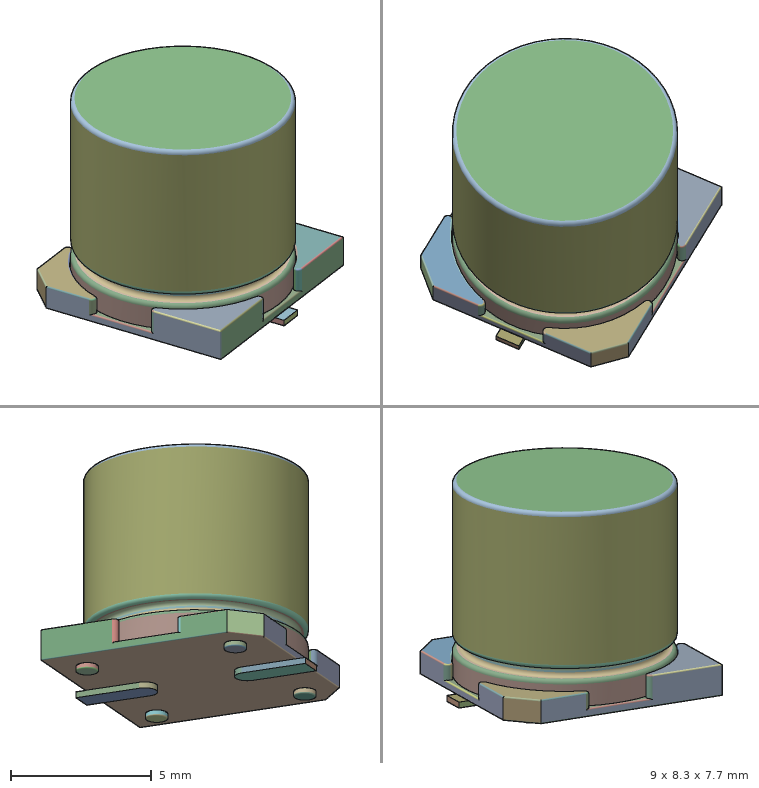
import cadquery as cq

base_side = 8.3
lead_span = 9.0
total_height = 7.7

standoff = 0.225
ledge_top = 0.52
low_block_top = 1.11
tall_block_top = 1.39
corner_chamfer = 1.0
gap_width = 2.34
nose_outer_radius = 0.17
nose_inner_radius = 0.16
edge_radius = 0.05
lower_edge_radius = 0.04

can_diameter = 8.0
can_clearance = 0.03
can_top_radius = 0.15
groove_diameter = 7.2
groove_height = 1.69
groove_flat = 0.07
groove_radius = 0.16

lead_width = 0.92
lead_inner_end = 1.56
foot_diameter = 0.8
foot_offset = 2.91
foot_rim_radius = 0.045

can_radius = can_diameter / 2
half_side = base_side / 2
pocket_radius = can_radius + can_clearance


def base_outline(bottom, top):
    """Prism of the square base with its cut -X corners and barely rounded +X corners."""
    return (
        cq.Workplane("XY", origin=(0, 0, bottom))
        .rect(base_side, base_side)
        .extrude(top - bottom)
        .edges("|Z and >X")
        .fillet(lower_edge_radius)
        .edges("|Z and <X")
        .chamfer(corner_chamfer)
    )


def make_plate():
    plate = base_outline(standoff, ledge_top).faces(">Z").edges().fillet(edge_radius)
    return plate.faces("<Z").edges().fillet(lower_edge_radius)


def make_block(x_sign, y_sign, top):
    """Corner block hugging the can, with rounded ends and rounded upper edges."""
    bottom = standoff + lower_edge_radius
    height = top - bottom
    quadrant_size = half_side - gap_width / 2
    quadrant_centre = half_side - quadrant_size / 2
    quadrant = (
        cq.Workplane("XY", origin=(0, 0, bottom))
        .center(x_sign * quadrant_centre, y_sign * quadrant_centre)
        .rect(quadrant_size, quadrant_size)
        .extrude(height)
    )
    pocket = cq.Workplane("XY", origin=(0, 0, bottom)).circle(pocket_radius).extrude(height)
    block = base_outline(bottom, top).intersect(quadrant).cut(pocket)

    gap_edge = gap_width / 2
    pocket_edge = (pocket_radius**2 - gap_edge**2) ** 0.5
    for reach, radius in ((half_side, nose_outer_radius), (pocket_edge, nose_inner_radius)):
        for x, y in ((gap_edge, reach), (reach, gap_edge)):
            corner = cq.selectors.NearestToPointSelector((x_sign * x, y_sign * y, bottom + height / 2))
            block = block.edges(corner).fillet(radius)
    return block.faces(">Z").edges().fillet(edge_radius)


def make_can():
    """Revolved can with a rolled groove near its foot."""
    groove_wall = groove_diameter / 2
    flat_half = groove_flat / 2
    side_half = flat_half + groove_radius
    lip_half = side_half + groove_radius
    inner_arc = groove_wall + groove_radius
    lip_arc = can_radius - groove_radius
    profile = (
        cq.Workplane("XZ")
        .moveTo(0, ledge_top)
        .lineTo(can_radius, ledge_top)
        .lineTo(can_radius, groove_height - lip_half)
        .radiusArc((lip_arc, groove_height - side_half), -groove_radius)
        .lineTo(inner_arc, groove_height - side_half)
        .radiusArc((groove_wall, groove_height - flat_half), groove_radius)
        .lineTo(groove_wall, groove_height + flat_half)
        .radiusArc((inner_arc, groove_height + side_half), groove_radius)
        .lineTo(lip_arc, groove_height + side_half)
        .radiusArc((can_radius, groove_height + lip_half), -groove_radius)
        .lineTo(can_radius, total_height)
        .lineTo(0, total_height)
        .close()
    )
    can = profile.revolve(360, (0, 0, 0), (0, 1, 0))
    return can.faces(">Z").edges().fillet(can_top_radius)


def make_leads():
    """Flat strips leaving the base along +X and -X, with semicircular inner ends."""
    round_centre = lead_inner_end + lead_width / 2
    lead = (
        cq.Workplane("XY")
        .moveTo(lead_span / 2, -lead_width / 2)
        .lineTo(round_centre, -lead_width / 2)
        .threePointArc((lead_inner_end, 0), (round_centre, lead_width / 2))
        .lineTo(lead_span / 2, lead_width / 2)
        .close()
        .extrude(standoff)
    )
    return lead.union(lead.mirror("YZ"))


def make_feet():
    return (
        cq.Workplane("XY")
        .rect(2 * foot_offset, 2 * foot_offset, forConstruction=True)
        .vertices()
        .circle(foot_diameter / 2)
        .extrude(standoff)
        .faces("<Z or >Z")
        .edges()
        .fillet(foot_rim_radius)
    )


result = make_plate().union(make_can())
for x_sign, top in ((-1, low_block_top), (1, tall_block_top)):
    for y_sign in (-1, 1):
        result = result.union(make_block(x_sign, y_sign, top))
result = result.union(make_leads()).union(make_feet())